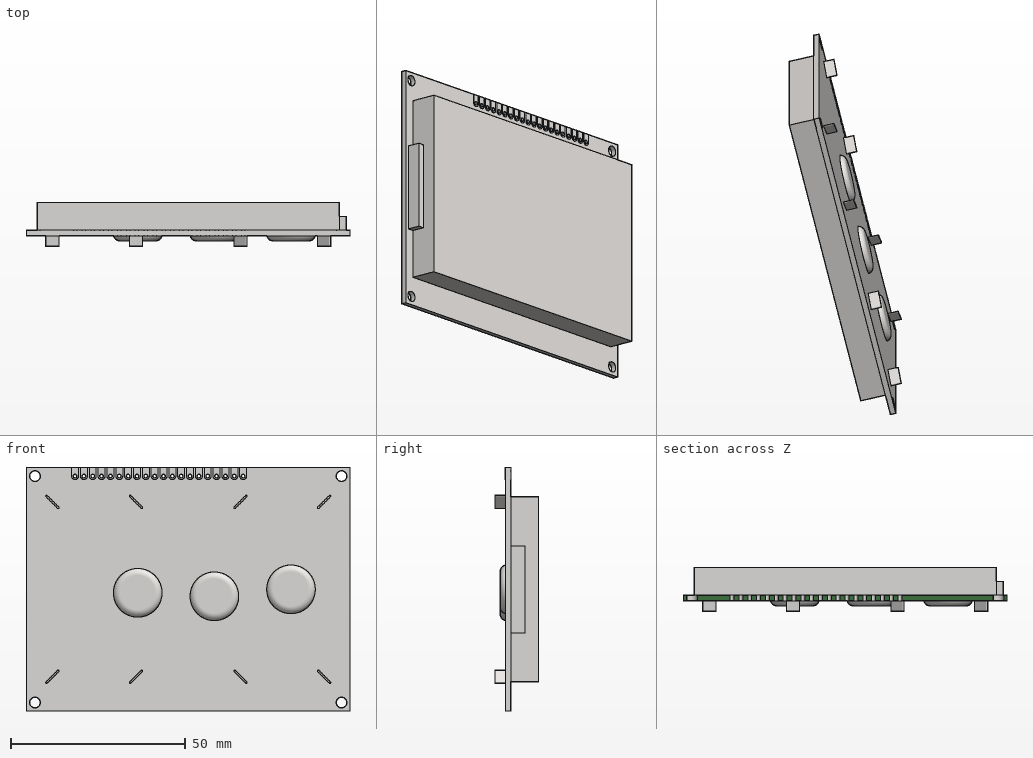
import cadquery as cq

BOARD_WIDTH = 93.0
BOARD_HEIGHT = 70.0
BOARD_THICKNESS = 1.6
BOARD_TOP = BOARD_HEIGHT / 2

MOUNT_HOLE_DIAMETER = 3.0
MOUNT_HOLE_INSET = 2.5

DISPLAY_WIDTH = 86.8
DISPLAY_HEIGHT = 53.2
DISPLAY_DEPTH = 8.0

BACKLIGHT_PROTRUSION = 2.0
BACKLIGHT_HEIGHT = 25.0
BACKLIGHT_DEPTH = 4.0

PAD_COUNT = 20
PAD_PITCH = 2.54
PAD_WIDTH = 2.0
PAD_THICKNESS = 0.05
PAD_HOLE_DIAMETER = 1.0
PAD_HOLE_DROP = 2.5
FIRST_PAD_INSET = 14.0
FIRST_PAD_X = FIRST_PAD_INSET - BOARD_WIDTH / 2

TAB_LENGTH = 5.2
TAB_THICKNESS = 0.5
TAB_PROTRUSION = 3.0
TAB_TWIST = 45.0
TAB_COLUMNS = (15.0, 39.0)
TAB_ROW = 25.1

DOME_DIAMETER = 14.1
DOME_HEIGHT = 1.5
DOME_RIM_RADIUS = 2.0
DOME_SINK_DEPTH = 1.0
DOME_CENTERS = ((-14.5, -1.0), (7.5, -2.0), (29.5, 0.0))


def front_plane(y):
    """XZ sketch plane at the given Y; it extrudes towards -Y."""
    return cq.Workplane("XZ", origin=(0, y, 0))


def make_board():
    """Flat board with a mounting hole through each corner."""
    hole_span_x = BOARD_WIDTH - 2 * MOUNT_HOLE_INSET
    hole_span_z = BOARD_HEIGHT - 2 * MOUNT_HOLE_INSET
    holes = (
        front_plane(0)
        .rect(hole_span_x, hole_span_z, forConstruction=True)
        .vertices()
        .circle(MOUNT_HOLE_DIAMETER / 2)
        .extrude(-BOARD_THICKNESS)
    )
    return front_plane(0).rect(BOARD_WIDTH, BOARD_HEIGHT).extrude(-BOARD_THICKNESS).cut(holes)


def make_display():
    """Display block centred on the back of the board."""
    return front_plane(BOARD_THICKNESS).rect(DISPLAY_WIDTH, DISPLAY_HEIGHT).extrude(-DISPLAY_DEPTH)


def make_backlight():
    """Low block standing out of the display's +X side, with its other half inside the display."""
    return (
        front_plane(BOARD_THICKNESS)
        .center(DISPLAY_WIDTH / 2, 0)
        .rect(2 * BACKLIGHT_PROTRUSION, BACKLIGHT_HEIGHT)
        .extrude(-BACKLIGHT_DEPTH)
    )


def make_pad_pair(x):
    """Pair of pads reaching the top edge, with round lower ends, as one piece through the board."""
    radius = PAD_WIDTH / 2
    hole_z = BOARD_TOP - PAD_HOLE_DROP
    return (
        front_plane(BOARD_THICKNESS + PAD_THICKNESS)
        .moveTo(x - radius, BOARD_TOP)
        .lineTo(x - radius, hole_z)
        .threePointArc((x, hole_z - radius), (x + radius, hole_z))
        .lineTo(x + radius, BOARD_TOP)
        .close()
        .extrude(BOARD_THICKNESS + 2 * PAD_THICKNESS)
    )


def make_pad_hole(x):
    """Drill through a pair of pads and the board between them."""
    return (
        front_plane(BOARD_THICKNESS + PAD_THICKNESS)
        .center(x, BOARD_TOP - PAD_HOLE_DROP)
        .circle(PAD_HOLE_DIAMETER / 2)
        .extrude(BOARD_THICKNESS + 2 * PAD_THICKNESS)
    )


def make_tab(x, z):
    """Thin round-ended tab twisted so that its inner end tilts towards the board's middle."""
    twist = TAB_TWIST if x * z > 0 else -TAB_TWIST
    return (
        front_plane(0)
        .center(x, z)
        .transformed(rotate=(0, 0, twist))
        .slot2D(TAB_LENGTH, TAB_THICKNESS)
        .extrude(TAB_PROTRUSION)
    )


def make_dome(x, z):
    """Disc whose rim is a quarter round, sunk so that only its front part stands out."""
    return (
        front_plane(DOME_SINK_DEPTH)
        .center(x, z)
        .circle(DOME_DIAMETER / 2)
        .extrude(DOME_SINK_DEPTH + DOME_HEIGHT)
        .faces("<Y")
        .edges()
        .fillet(DOME_RIM_RADIUS)
    )


result = make_board().union(make_display()).union(make_backlight())

for dome_x, dome_z in DOME_CENTERS:
    result = result.union(make_dome(dome_x, dome_z))

for column in TAB_COLUMNS:
    for tab_x in (-column, column):
        for tab_z in (-TAB_ROW, TAB_ROW):
            result = result.union(make_tab(tab_x, tab_z))

for index in range(PAD_COUNT):
    pad_x = FIRST_PAD_X + index * PAD_PITCH
    result = result.union(make_pad_pair(pad_x)).cut(make_pad_hole(pad_x))